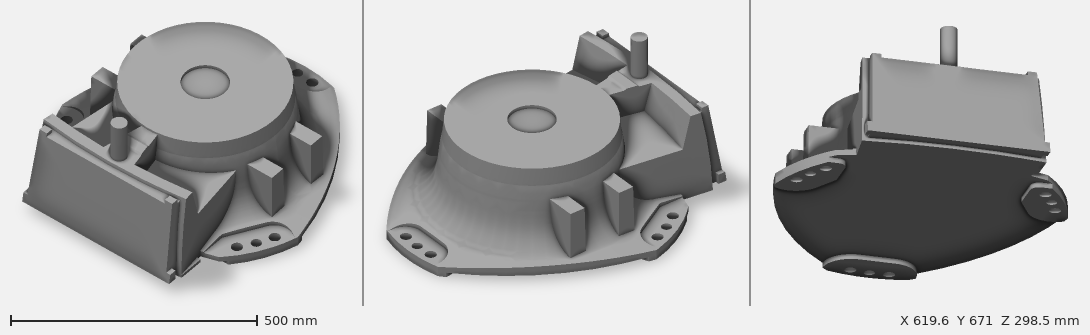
import cadquery as cq
import math

BASE_Z = 11.0
RIM_Z = 23.0
FLARE_Z = 34.0
LID_Z = 172.0
TOP_Z = 211.0
BOX_TOP_Z = 206.5
PIPE_TOP_Z = 298.5

RIM_R = 320.0
TRIM_ALLOWANCE = 13.5
FLARE_R = 255.5
FLARE_POINTS = [(226.0, 44.0), (203.0, 70.0), (193.0, 102.5)]
LID_LOW_R = 183.0
LID_TOP_R = 179.0
RECESS_R = 50.0
RECESS_DEPTH = 8.0

LUG_ANGLES = (90, 210, 330)
LUG_HALF_ANGLE = 15.5
WAIST_OF_FLANGE_R = 268.0
FLANGE_END = (186.5, 240.0)
POCKET_HALF_WIDTH = 78.5
POCKET_INNER_R = 256.0
POCKET_CORNER = 40.0
POCKET_CLIP_X = 192.0
FRONT_EXTENSION = 80.5
FOOT_MARGIN = 20.0
FOOT_CLIP_X = 196.0
FOOT_CLIP_Y = -214.5
FOOT_CLIP_CORNER = 19.0
HOLE_CIRCLE_R = 295.0
HOLE_STEP = 8.0
OUTER_HOLE_D = 25.0
MIDDLE_HOLE_D = 23.0

RIB_YS = (67.0, -58.0)
RIB_TOP_Z = 141.0
RIB_TOP_X = 237.5
RIB_TOP_WIDTH = 36.0
RIB_DRAFT = 2.0

BOX_SLOPE = 0.14
FRAME_BOTTOM = (195.0, -314.0)
FRAME_MIDDLE = (192.0, -306.0)
FRAME_TOP = (187.0, -289.0)
BOW = 13.0
FRAME_OVERSIZE = 7.0
BACK_TOP_Y = -264.0
BACK_LEAN = 0.26
RAMP_EDGE_Z = 131.0
RAMP_CENTRE_Z = 145.5

BRIDGE_INNER = (21.0, -178.0)
BRIDGE_OUTER = (41.0, -277.5)
BUMP_Z = 210.0
BUMP_Y = (-214.5, -221.0, -244.0, -249.5)

DOOR_BOTTOM_Z = 18.0
DOOR_TOP_Z = 198.0
DOOR_BOTTOM_Y = -351.0
DOOR_TOP_Y = -318.0
DOOR_BOTTOM_X = 184.0
DOOR_TOP_X = 174.5
DOOR_BACK_Y = -275.0
TOP_LUG_WIDTH = 19.5
TOP_LUG_BACK_Y = -302.0
SIDE_LUG_X = 193.0
SIDE_LUG_TOP_Z = 41.0
SIDE_LUG_BACK_Y = -330.0

LEDGE_OUTER_X = 196.0
LEDGE_BACK_Y = -253.0

PIPE_R = 17.5
PIPE_Y = -275.5


def polar(radius, angle):
    a = math.radians(angle)
    return (radius * math.cos(a), radius * math.sin(a))


def flange_prism():
    """Flange outline: three lug arcs joined by bowed sides, closed behind the outlet box."""
    h = LUG_HALF_ANGLE
    end_x, end_y = FLANGE_END
    return (
        cq.Workplane("XY")
        .moveTo(end_x, -end_y)
        .lineTo(*polar(RIM_R, 330 - h))
        .threePointArc(polar(RIM_R, 330), polar(RIM_R, 330 + h))
        .threePointArc(polar(WAIST_OF_FLANGE_R, 30), polar(RIM_R, 90 - h))
        .threePointArc(polar(RIM_R, 90), polar(RIM_R, 90 + h))
        .threePointArc(polar(WAIST_OF_FLANGE_R, 150), polar(RIM_R, 210 - h))
        .threePointArc(polar(RIM_R, 210), polar(RIM_R, 210 + h))
        .lineTo(-end_x, -end_y)
        .close()
        .extrude(TOP_Z)
    )


def round_body():
    """Turned body; its flange runs past the rim so that the outline can trim it."""
    flange_slope = (FLARE_Z - RIM_Z) / (RIM_R - FLARE_R)
    outer_r = RIM_R + TRIM_ALLOWANCE
    outer_z = RIM_Z - flange_slope * TRIM_ALLOWANCE
    return (
        cq.Workplane("XZ")
        .moveTo(0, BASE_Z)
        .lineTo(outer_r, BASE_Z)
        .lineTo(outer_r, outer_z)
        .lineTo(FLARE_R, FLARE_Z)
        .spline(FLARE_POINTS + [(LID_LOW_R, LID_Z)], includeCurrent=True)
        .lineTo(LID_TOP_R, TOP_Z)
        .lineTo(0, TOP_Z)
        .close()
        .revolve(360, (0, 0, 0), (0, 1, 0))
    )


def lug_block(angle, margin, low_z, high_z, front_extension=0):
    """Block pointing outward from the axis, with rounded inner corners.

    A front extension lengthens one end and leaves that end's corner sharp.
    """
    half_width = POCKET_HALF_WIDTH + margin
    inner = POCKET_INNER_R - margin
    corners = "|Z and <X and <Y" if front_extension else "|Z and <X"
    return (
        cq.Workplane("XY")
        .box(2 * (RIM_R - inner), 2 * half_width + front_extension, high_z - low_z, centered=False)
        .edges(corners)
        .fillet(POCKET_CORNER + margin)
        .translate((inner, -half_width, low_z))
        .rotate((0, 0, 0), (0, 0, 1), angle)
    )


def lug_set(margin, low_z, high_z, front_zone):
    """Rear block plus a mirrored front pair, each front block kept inside its zone."""
    rear_angle, left_angle, _ = LUG_ANGLES
    left = lug_block(left_angle, margin, low_z, high_z, FRONT_EXTENSION).intersect(front_zone)
    return lug_block(rear_angle, margin, low_z, high_z).add(left).add(left.mirror("YZ")).combine()


def left_zone(clip_x, clip_y):
    """Region left of the outlet box and behind clip_y."""
    return (
        cq.Workplane("XY")
        .box(RIM_R, RIM_R, TOP_Z, centered=False)
        .translate((-clip_x - RIM_R, clip_y, 0))
    )


def feet():
    zone = left_zone(FOOT_CLIP_X, FOOT_CLIP_Y).edges("|Z and >X and <Y").fillet(FOOT_CLIP_CORNER)
    return lug_set(FOOT_MARGIN, 0, BASE_Z, zone)


def lug_pockets():
    return lug_set(0, RIM_Z, RIM_Z + FLARE_Z, left_zone(POCKET_CLIP_X, -RIM_R))


def lug_holes():
    holes = cq.Workplane("XY")
    for angle in LUG_ANGLES:
        for offset in (-HOLE_STEP, 0, HOLE_STEP):
            diameter = OUTER_HOLE_D if offset else MIDDLE_HOLE_D
            x, y = polar(HOLE_CIRCLE_R, angle + offset)
            holes = holes.add(cq.Workplane("XY").center(x, y).circle(diameter / 2).extrude(TOP_Z))
    return holes.combine()


def ribs():
    """Four drafted ribs standing on the flange and running into the round wall."""
    top_half = RIB_TOP_WIDTH / 2
    low_half = top_half + RIB_DRAFT
    low_x = RIB_TOP_X + RIB_DRAFT
    solids = cq.Workplane("XY")
    for y in RIB_YS:
        pair = (
            cq.Workplane("XY").workplane(offset=RIM_Z).center(0, y)
            .rect(2 * low_x, 2 * low_half)
            .workplane(offset=RIB_TOP_Z - RIM_Z)
            .rect(2 * RIB_TOP_X, 2 * top_half)
            .loft(ruled=True)
        )
        solids = solids.add(pair)
    return solids.combine()


def frame_loft(back_low_y, back_top_y, oversize=0):
    """Leaning block with bowed front and back, lofted through three levels.

    Oversize pushes the sides and the front outward, leaving the back in place.
    """
    back_middle_y = (back_low_y + back_top_y) / 2
    half_height = (BOX_TOP_Z - BASE_Z) / 2
    plane = cq.Workplane("XY").workplane(offset=BASE_Z - half_height)
    for (half_width, front_y), back_y in (
        (FRAME_BOTTOM, back_low_y),
        (FRAME_MIDDLE, back_middle_y),
        (FRAME_TOP, back_top_y),
    ):
        back_half_width = half_width - BOX_SLOPE * (back_y - front_y) + oversize
        half_width += oversize
        front_y -= oversize
        plane = (
            plane.workplane(offset=half_height)
            .moveTo(-half_width, front_y)
            .threePointArc((0, front_y - BOW), (half_width, front_y))
            .lineTo(back_half_width, back_y)
            .threePointArc((0, back_y - BOW), (-back_half_width, back_y))
            .close()
        )
    return plane.loft()


def outlet_box():
    """Box spreading from the round body to the frame, with a two-sided ramp and a tall frame."""
    back_low_y = BACK_TOP_Y + BACK_LEAN * (BOX_TOP_Z - BASE_Z)
    frame_stock = frame_loft(back_low_y, BACK_TOP_Y, FRAME_OVERSIZE)
    envelope = frame_loft(0, 0)
    edge_x = FRAME_BOTTOM[0]
    ramp = (
        cq.Workplane("XZ")
        .polyline([
            (-edge_x, BASE_Z), (edge_x, BASE_Z), (edge_x, RAMP_EDGE_Z),
            (0, RAMP_CENTRE_Z), (-edge_x, RAMP_EDGE_Z),
        ])
        .close()
        .extrude(-FRAME_TOP[1])
    )
    return envelope.intersect(ramp.union(frame_stock))


def bridge_prism():
    """Plan of the bridge, widening towards the frame, over the full height."""
    inner_x, inner_y = BRIDGE_INNER
    outer_x, outer_y = BRIDGE_OUTER
    return (
        cq.Workplane("XY")
        .polyline([(-inner_x, inner_y), (inner_x, inner_y), (outer_x, outer_y), (-outer_x, outer_y)])
        .close()
        .extrude(TOP_Z)
    )


def bridge():
    """Wedge joining lid and frame, with a low bump across its top."""
    y0, y1, y2, y3 = BUMP_Y
    outer_x, outer_y = BRIDGE_OUTER
    side_profile = (
        cq.Workplane("YZ")
        .polyline([
            (0, RAMP_EDGE_Z), (0, BOX_TOP_Z), (y0, BOX_TOP_Z), (y1, BUMP_Z), (y2, BUMP_Z),
            (y3, BOX_TOP_Z), (outer_y, BOX_TOP_Z), (outer_y, RAMP_EDGE_Z),
        ])
        .close()
        .extrude(outer_x, both=True)
    )
    return side_profile.intersect(bridge_prism())


def door():
    """Slanted door plate with lugs at its upper and lower corners."""
    slant = (
        cq.Workplane("YZ")
        .polyline([
            (DOOR_BACK_Y, DOOR_BOTTOM_Z), (DOOR_BOTTOM_Y, DOOR_BOTTOM_Z),
            (DOOR_TOP_Y, BOX_TOP_Z), (DOOR_BACK_Y, BOX_TOP_Z),
        ])
        .close()
        .extrude(SIDE_LUG_X, both=True)
    )
    face = (
        cq.Workplane("XZ")
        .polyline([
            (-DOOR_BOTTOM_X, DOOR_BOTTOM_Z), (DOOR_BOTTOM_X, DOOR_BOTTOM_Z),
            (DOOR_TOP_X, BOX_TOP_Z), (-DOOR_TOP_X, BOX_TOP_Z),
        ])
        .close()
        .extrude(-DOOR_BOTTOM_Y)
    )
    inner_top = 2 * (DOOR_TOP_X - TOP_LUG_WIDTH)
    rebate_height = BOX_TOP_Z - DOOR_TOP_Z
    plate = slant.intersect(face)
    plate = plate.cut(
        cq.Workplane("XY").box(inner_top, -2 * DOOR_BOTTOM_Y, 2 * rebate_height)
        .translate((0, 0, BOX_TOP_Z))
    )
    groove_depth = DOOR_BACK_Y - TOP_LUG_BACK_Y
    plate = plate.cut(
        cq.Workplane("XY")
        .box(2 * SIDE_LUG_X, groove_depth, rebate_height, centered=(True, False, False))
        .translate((0, TOP_LUG_BACK_Y, DOOR_TOP_Z))
    )
    side_lugs = slant.intersect(
        cq.Workplane("XY")
        .box(2 * SIDE_LUG_X, SIDE_LUG_BACK_Y - DOOR_BOTTOM_Y, SIDE_LUG_TOP_Z - DOOR_BOTTOM_Z,
             centered=(True, False, False))
        .translate((0, DOOR_BOTTOM_Y, DOOR_BOTTOM_Z))
    )
    return plate.union(side_lugs)


def ledge():
    """Low strip along the foot of the frame's +X side."""
    inner_x = DOOR_TOP_X
    front_y = FRAME_BOTTOM[1]
    width = LEDGE_OUTER_X - inner_x
    length = LEDGE_BACK_Y - front_y
    strip = cq.Workplane("XY").box(width, length, DOOR_BOTTOM_Z - BASE_Z, centered=False)
    return strip.translate((inner_x, front_y, BASE_Z))


def pipe():
    return (
        cq.Workplane("XY").workplane(offset=RIM_Z).center(0, PIPE_Y)
        .circle(PIPE_R).extrude(PIPE_TOP_Z - RIM_Z)
    )


body = round_body().union(feet()).intersect(flange_prism())
body = body.cut(lug_pockets()).cut(lug_holes())
for feature in (ribs(), outlet_box(), bridge(), door(), ledge(), pipe()):
    body = body.union(feature)

recess = cq.Workplane("XY").workplane(offset=TOP_Z - RECESS_DEPTH).circle(RECESS_R).extrude(RECESS_DEPTH)
result = body.cut(recess)